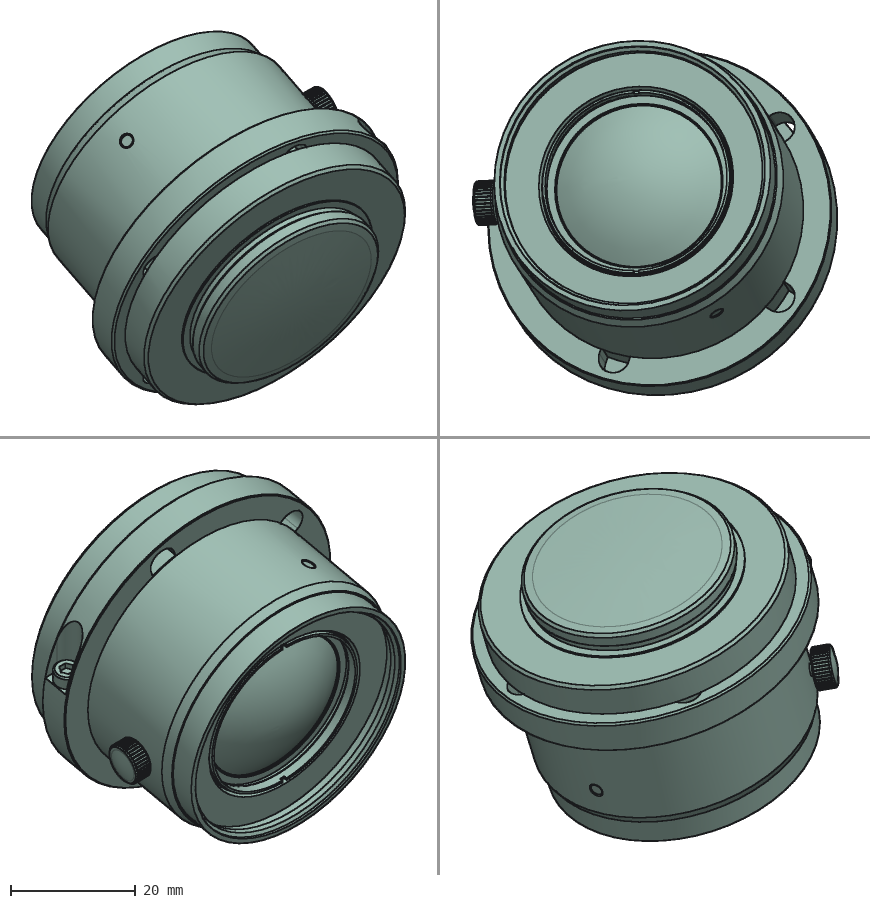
import cadquery as cq
import math


length = 41.25
front_rim_radius = 22.5
front_rim_end = 4.5
barrel_radius = 23.5
barrel_cone_start_radius = 22.8
barrel_cone_end = 6.1
barrel_end = 24.45
gap_radius = 22.2
flange_start = 24.9
flange_radius = 28.0
flange_front_chamfer = 0.15
flange_rear_chamfer = 0.35
flange_end = 30.75
rear_body_radius = 25.55
rear_body_end = 36.5
rear_body_chamfer = 0.5
step_radius = 18.5
step_end = 36.85
neck_radius = 17.15
neck_end = 37.8
rear_ring_radius = 17.5
rear_ring_start = 38.2
rear_ring_end = 40.5
rear_ring_chamfer = 0.5
rear_lens_radius = 31.2 / 2
rear_lens_edge = 40.65

mouth_radius = 43.2 / 2
mouth_cone_start = 0.45
mouth_cone_end = 0.9
lip_radius = 21.05
lip_end = 1.9
relief_radius = 21.5
floor_depth = 3.4
bore_radius = 31.7 / 2
bore_groove_radius = 31.0 / 2
bore_groove_depth = 0.85
retainer_outer_radius = 30.5 / 2
retainer_inner_radius = 29.7 / 2
retainer_end = 5.15
spacer_radius = 15.0
spacer_depth = 5.8
lens_seat_radius = 13.65
lens_seat_depth = 6.15
front_lens_radius = 13.45
front_lens_apex = 1.5
spanner_slot_width = 0.85
spanner_slot_depth = 0.55
spanner_slot_overrun = 0.05

bolt_slot_count = 4
bolt_slot_spacing = 360 / 5
bolt_slot_width = 5.05
bolt_circle_radius = 24.1
hub_radius = 23.05

screw_station = 11.3
screw_count = 3
thumb_shaft_diameter = 2.05
thumb_shaft_embedding = 0.55
thumb_head_diameter = 7.1
thumb_head_start = 24.2
thumb_head_end = 27.4
thumb_head_chamfer = 0.3
thumb_cap_diameter = 5.6
thumb_cap_top = 27.9
knurl_count = 40
knurl_width = 0.15
knurl_depth = 0.1
set_screw_recess_diameter = 2.5
set_screw_diameter = 2.0
set_screw_recess_depth = 0.1

clamp_station = (flange_start + flange_end) / 2
clamp_offset = 25.1
clamp_floor = 5.4
clamp_pocket_width = 5.05
clamp_head_diameter = 4.5
clamp_head_top = 7.85
clamp_head_chamfer = 0.3
clamp_socket_across_corners = 2.5
clamp_socket_depth = 1.1


def cap_mid_point(edge_x, apex_x, edge_radius):
    """Point (x, radius) halfway along the arc of a spherical cap, between its edge and its apex."""
    sag = abs(apex_x - edge_x)
    sphere_radius = (edge_radius**2 + sag**2) / (2 * sag)
    half_angle = math.asin(edge_radius / sphere_radius) / 2
    towards_edge = math.copysign(1, edge_x - apex_x)
    drop = sphere_radius * (1 - math.cos(half_angle))
    return apex_x + towards_edge * drop, sphere_radius * math.sin(half_angle)


def make_body():
    """Turned lens body with the front lens in its recess and the rear lens at the back."""
    profile = (
        cq.Workplane("XY")
        .moveTo(front_lens_apex, 0)
        .threePointArc(
            cap_mid_point(lens_seat_depth, front_lens_apex, front_lens_radius),
            (lens_seat_depth, front_lens_radius),
        )
        .lineTo(lens_seat_depth, lens_seat_radius)
        .lineTo(spacer_depth, lens_seat_radius)
        .lineTo(spacer_depth, spacer_radius)
        .lineTo(retainer_end, spacer_radius)
        .lineTo(retainer_end, retainer_inner_radius)
        .lineTo(floor_depth, retainer_inner_radius)
        .lineTo(floor_depth, retainer_outer_radius)
        .lineTo(floor_depth + bore_groove_depth, retainer_outer_radius)
        .lineTo(floor_depth + bore_groove_depth, bore_groove_radius)
        .lineTo(floor_depth, bore_radius)
        .lineTo(floor_depth, relief_radius)
        .lineTo(lip_end, relief_radius)
        .lineTo(lip_end, lip_radius)
        .lineTo(mouth_cone_end, lip_radius)
        .lineTo(mouth_cone_start, mouth_radius)
        .lineTo(0, mouth_radius)
        .lineTo(0, front_rim_radius)
        .lineTo(front_rim_end, front_rim_radius)
        .lineTo(front_rim_end, barrel_cone_start_radius)
        .lineTo(barrel_cone_end, barrel_radius)
        .lineTo(barrel_end, barrel_radius)
        .lineTo(barrel_end, gap_radius)
        .lineTo(flange_start, gap_radius)
        .lineTo(flange_start, flange_radius - flange_front_chamfer)
        .lineTo(flange_start + flange_front_chamfer, flange_radius)
        .lineTo(flange_end - flange_rear_chamfer, flange_radius)
        .lineTo(flange_end, flange_radius - flange_rear_chamfer)
        .lineTo(flange_end, rear_body_radius)
        .lineTo(rear_body_end - rear_body_chamfer, rear_body_radius)
        .lineTo(rear_body_end, rear_body_radius - rear_body_chamfer)
        .lineTo(rear_body_end, step_radius)
        .lineTo(step_end, step_radius)
        .lineTo(step_end, neck_radius)
        .lineTo(neck_end, neck_radius)
        .lineTo(rear_ring_start, rear_ring_radius)
        .lineTo(rear_ring_end - rear_ring_chamfer, rear_ring_radius)
        .lineTo(rear_ring_end, rear_ring_radius - rear_ring_chamfer)
        .lineTo(rear_lens_edge, rear_lens_radius)
        .threePointArc(cap_mid_point(rear_lens_edge, length, rear_lens_radius), (length, 0))
        .close()
    )
    return profile.revolve(360, (0, 0, 0), (1, 0, 0))


def make_bolt_slot():
    """Slot through the flange at +Y, from the hub to a round outer end, up to the rear body."""
    flange_width = flange_end - flange_start
    base = cq.Workplane("YZ", origin=(flange_start, 0, 0))
    round_end = base.center(bolt_circle_radius, 0).circle(bolt_slot_width / 2).extrude(flange_width)
    straight_part = (
        base.center(bolt_circle_radius / 2, 0)
        .rect(bolt_circle_radius, bolt_slot_width)
        .extrude(flange_width)
    )
    hub = base.circle(hub_radius).extrude(flange_width)
    return round_end.union(straight_part).cut(hub)


def make_spanner_slots():
    """Two small slots in the retaining ring of the front lens, above and below the axis."""
    slot_middle = (retainer_outer_radius + retainer_inner_radius) / 2
    slot_length = retainer_outer_radius - retainer_inner_radius + 2 * spanner_slot_overrun
    return (
        cq.Workplane("YZ", origin=(floor_depth, 0, 0))
        .pushPoints([(0, slot_middle), (0, -slot_middle)])
        .rect(spanner_slot_width, slot_length)
        .extrude(spanner_slot_depth)
    )


def make_set_screw_recess():
    """Countersunk recess at the +Y side of the barrel, its flat floor being the end of a set screw."""
    return (
        cq.Workplane("XZ", origin=(screw_station, barrel_radius - set_screw_recess_depth, 0))
        .circle(set_screw_diameter / 2)
        .workplane(offset=-set_screw_recess_depth)
        .circle(set_screw_recess_diameter / 2)
        .loft()
    )


def make_thumb_screw():
    """Knurled thumb screw standing out of the barrel towards +Y."""
    head_radius = thumb_head_diameter / 2
    cap_radius = thumb_cap_diameter / 2
    shaft_radius = thumb_shaft_diameter / 2
    shaft_root = barrel_radius - thumb_shaft_embedding
    cap_y, cap_x = cap_mid_point(thumb_head_end, thumb_cap_top, cap_radius)
    screw = (
        cq.Workplane("XY")
        .moveTo(0, shaft_root)
        .lineTo(shaft_radius, shaft_root)
        .lineTo(shaft_radius, thumb_head_start)
        .lineTo(head_radius - thumb_head_chamfer, thumb_head_start)
        .lineTo(head_radius, thumb_head_start + thumb_head_chamfer)
        .lineTo(head_radius, thumb_head_end - thumb_head_chamfer)
        .lineTo(head_radius - thumb_head_chamfer, thumb_head_end)
        .lineTo(cap_radius, thumb_head_end)
        .threePointArc((cap_x, cap_y), (0, thumb_cap_top))
        .close()
        .revolve(360, (0, 0, 0), (0, 1, 0))
    )
    groove = (
        cq.Workplane("XZ", origin=(0, thumb_head_start, 0))
        .polyline(
            [
                (head_radius - knurl_depth, 0),
                (head_radius + knurl_depth, knurl_width),
                (head_radius + knurl_depth, -knurl_width),
            ]
        )
        .close()
        .extrude(thumb_head_start - thumb_head_end)
    )
    for number in range(knurl_count):
        screw = screw.cut(groove.rotate((0, 0, 0), (0, 1, 0), number * 360 / knurl_count))
    return screw.translate((screw_station, 0, 0))


def make_clamp_pocket():
    """Round-ended pocket for the clamp screw head, open towards +Y and +Z."""
    base = cq.Workplane("XY", origin=(clamp_station, clamp_offset, clamp_floor))
    round_end = base.circle(clamp_pocket_width / 2).extrude(flange_radius)
    opening_length = flange_radius - clamp_offset
    opening = (
        base.center(0, opening_length / 2)
        .rect(clamp_pocket_width, opening_length)
        .extrude(flange_radius)
    )
    return round_end.union(opening)


def make_clamp_screw():
    """Socket head of the clamp screw, standing on the pocket floor."""
    return (
        cq.Workplane("XY", origin=(clamp_station, clamp_offset, clamp_floor))
        .circle(clamp_head_diameter / 2)
        .extrude(clamp_head_top - clamp_floor)
        .faces(">Z")
        .chamfer(clamp_head_chamfer)
        .faces(">Z")
        .workplane()
        .transformed(rotate=(0, 0, 90))
        .polygon(6, clamp_socket_across_corners)
        .cutBlind(-clamp_socket_depth)
    )


result = make_body().cut(make_spanner_slots())

for number in range(1, bolt_slot_count + 1):
    slot_angle = number * bolt_slot_spacing
    result = result.cut(make_bolt_slot().rotate((0, 0, 0), (1, 0, 0), slot_angle))

for number in range(1, screw_count):
    recess_angle = number * 360 / screw_count
    result = result.cut(make_set_screw_recess().rotate((0, 0, 0), (1, 0, 0), recess_angle))
result = result.union(make_thumb_screw())

result = result.cut(make_clamp_pocket()).union(make_clamp_screw())